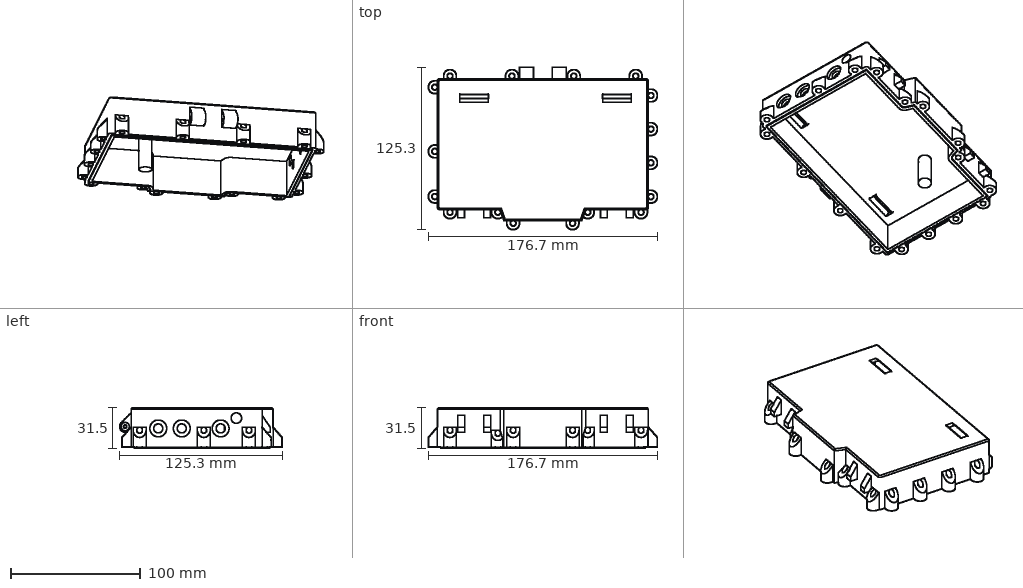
import cadquery as cq
import math

BODY_WIDTH = 162.7
BODY_DEPTH = 101.0
BODY_HEIGHT = 30.5
WALL = 5.0
LID = 3.0
CORNER_RADIUS = 2.0
TOP_CHAMFER = 1.2

BULGE_DEPTH = 8.5
BULGE_ROOT_HALF = 33.0
BULGE_NOSE_HALF = 30.0

LIP_HEIGHT = 1.0
LIP_INSET = 2.5

EAR_DIAMETER = 10.0
EAR_HOLE_DIAMETER = 4.2
EAR_OFFSET = 2.0
EAR_EMBED = 2.5
EAR_HEIGHT = 15.4
EAR_SLOPE_DROP = 8.0
LOW_EAR_HEIGHT = 13.1
BACK_EAR_X = [-71.6, -23.85, 23.85, 71.6]
FRONT_EAR_X = [-71.6, 34.6, 75.7]
LOW_FRONT_EAR_X = -34.7
BULGE_EAR_X = [-22.9, 22.9]
LEFT_EAR_Y = [-6.6, -56.1, -90.9]
RIGHT_EAR_Y = [-13.0, -38.9, -64.9, -91.0]

LUG_WIDTH = 11.0
LUG_CENTER_X = 12.6
LUG_RADIUS = 4.3
LUG_REACH = 8.83
LUG_AXIS_Z = 15.8
LUG_HOLE_DIAMETER = 2.3
LUG_RECESS_DIAMETER = 6.5
LUG_RECESS_DEPTH = 3.0

STRAP_X = [-53.0, 57.0]
SLOT_LENGTH = 22.0
SLOT_WIDTH = 6.0
SLOT_CENTER_Y = -15.3
HOOK_SPACING = 20.0
HOOK_WIDTH = 5.5
HOOK_REACH = 6.3
HOOK_TOP_Z = 24.5
HOOK_TIP_TOP_Z = 15.3
HOOK_BOTTOM_Z = 11.4

JACK_Z = 14.4
JACK_Y = [-21.0, -39.1, -69.1]
JACK_BORE_DIAMETER = 7.0
JACK_RECESS_DIAMETER = 13.0
JACK_RECESS_DEPTH = 2.5
SWITCH_Y = -81.2
SWITCH_Z = 22.4
SWITCH_DIAMETER = 8.1

POST_X = 40.0
POST_Y = -67.0
POST_DIAMETER = 10.0

LEFT_X = -BODY_WIDTH / 2
RIGHT_X = BODY_WIDTH / 2
FRONT_Y = -BODY_DEPTH
BULGE_Y = FRONT_Y - BULGE_DEPTH
LID_BOTTOM_Z = BODY_HEIGHT - LID
LUG_AXIS_Y = LUG_REACH - LUG_RADIUS
OVERLAP = 1.0


def plan_wire(inset):
    """Body outline seen from above, moved inwards by the given distance."""
    outline = cq.Workplane("XY").polyline([
        (LEFT_X, 0),
        (RIGHT_X, 0),
        (RIGHT_X, FRONT_Y),
        (BULGE_ROOT_HALF, FRONT_Y),
        (BULGE_NOSE_HALF, BULGE_Y),
        (-BULGE_NOSE_HALF, BULGE_Y),
        (-BULGE_ROOT_HALF, FRONT_Y),
        (LEFT_X, FRONT_Y),
    ]).close()
    return outline.offset2D(-inset) if inset else outline


def cavity():
    return plan_wire(WALL).extrude(LID_BOTTOM_Z + LIP_HEIGHT).translate((0, 0, -LIP_HEIGHT))


def side_edges(x):
    """Selector for the two upright corner edges of the side wall at the given x."""
    return cq.selectors.BoxSelector(
        (x - OVERLAP, FRONT_Y - OVERLAP, 0),
        (x + OVERLAP, OVERLAP, BODY_HEIGHT),
    )


def solid_body():
    box = plan_wire(0).extrude(BODY_HEIGHT)
    box = box.edges("|Z").edges(side_edges(LEFT_X) + side_edges(RIGHT_X)).fillet(CORNER_RADIUS)
    box = box.faces(">Z").edges().chamfer(TOP_CHAMFER)
    lip = plan_wire(LIP_INSET).extrude(LIP_HEIGHT).translate((0, 0, -LIP_HEIGHT))
    return box.union(lip)


def on_wall(shape, x, y, turn):
    """Move a shape that points along +X to the wall point (x, y), turned to face outwards."""
    return shape.rotate((0, 0, 0), (0, 0, 1), turn).translate((x, y, 0))


def ear(x, y, turn, height):
    """Screw ear: a round barrel joined to the wall, with its top sloping down outwards."""
    radius = EAR_DIAMETER / 2
    reach = EAR_OFFSET + radius
    block = (
        cq.Workplane("XY")
        .center((EAR_OFFSET - EAR_EMBED) / 2, 0)
        .rect(EAR_EMBED + EAR_OFFSET, EAR_DIAMETER)
        .extrude(height)
    )
    barrel = cq.Workplane("XY").center(EAR_OFFSET, 0).circle(radius).extrude(height)
    above_slope = (
        cq.Workplane("XZ")
        .polyline([(0, height), (reach, height), (reach, height - EAR_SLOPE_DROP)])
        .close()
        .extrude(radius, both=True)
    )
    return on_wall(block.union(barrel).cut(above_slope), x, y, turn)


def ear_hole(x, y, turn, height):
    hole = cq.Workplane("XY").center(EAR_OFFSET, 0).circle(EAR_HOLE_DIAMETER / 2).extrude(height)
    return on_wall(hole, x, y, turn)


def ear_places():
    """Wall point, outward angle from +X and height of every ear."""
    places = [(x, 0, 90, EAR_HEIGHT) for x in BACK_EAR_X]
    places += [(x, FRONT_Y, -90, EAR_HEIGHT) for x in FRONT_EAR_X]
    places += [(LOW_FRONT_EAR_X, FRONT_Y, -90, LOW_EAR_HEIGHT)]
    places += [(x, BULGE_Y, -90, EAR_HEIGHT) for x in BULGE_EAR_X]
    places += [(LEFT_X, y, 180, EAR_HEIGHT) for y in LEFT_EAR_Y]
    places += [(RIGHT_X, y, 0, EAR_HEIGHT) for y in RIGHT_EAR_Y]
    return places


def lug(x):
    """Hinge lug with a round nose and a top that rises at 45 degrees to the wall."""
    tangent = LUG_RADIUS / math.sqrt(2)
    root_top = LUG_AXIS_Z + LUG_AXIS_Y + 2 * tangent
    return (
        cq.Workplane("YZ")
        .moveTo(-OVERLAP, LUG_AXIS_Z - LUG_RADIUS)
        .lineTo(LUG_AXIS_Y, LUG_AXIS_Z - LUG_RADIUS)
        .threePointArc((LUG_REACH, LUG_AXIS_Z), (LUG_AXIS_Y + tangent, LUG_AXIS_Z + tangent))
        .lineTo(0, root_top)
        .lineTo(-OVERLAP, root_top)
        .close()
        .extrude(LUG_WIDTH / 2, both=True)
        .translate((x, 0, 0))
    )


def lug_bore():
    """Pin hole through both lugs, recessed at its left end."""
    left_end = -LUG_CENTER_X - LUG_WIDTH / 2
    plane = cq.Workplane("YZ", origin=(left_end, LUG_AXIS_Y, LUG_AXIS_Z))
    pin = plane.circle(LUG_HOLE_DIAMETER / 2).extrude(-2 * left_end)
    return pin.union(plane.circle(LUG_RECESS_DIAMETER / 2).extrude(LUG_RECESS_DEPTH))


def hook(x):
    return (
        cq.Workplane("YZ")
        .polyline([
            (FRONT_Y, HOOK_TOP_Z),
            (FRONT_Y - HOOK_REACH, HOOK_TIP_TOP_Z),
            (FRONT_Y - HOOK_REACH, HOOK_BOTTOM_Z),
            (FRONT_Y, HOOK_BOTTOM_Z),
        ])
        .close()
        .extrude(HOOK_WIDTH / 2, both=True)
        .translate((x, 0, 0))
    )


def strap_slot(x):
    """Slot that leans 45 degrees backwards on its way down through the lid."""
    front = SLOT_CENTER_Y - SLOT_WIDTH / 2
    back = SLOT_CENTER_Y + SLOT_WIDTH / 2
    return (
        cq.Workplane("YZ")
        .polyline([
            (front, BODY_HEIGHT),
            (back, BODY_HEIGHT),
            (back + LID, LID_BOTTOM_Z),
            (front + LID, LID_BOTTOM_Z),
        ])
        .close()
        .extrude(SLOT_LENGTH / 2, both=True)
        .translate((x, 0, 0))
    )


def left_wall_hole(y, z, diameter, depth):
    return cq.Workplane("YZ", origin=(LEFT_X, y, z)).circle(diameter / 2).extrude(depth)


def post():
    return cq.Workplane("XY").center(POST_X, POST_Y).circle(POST_DIAMETER / 2).extrude(LID_BOTTOM_Z)


result = solid_body()
for place in ear_places():
    result = result.union(ear(*place))
for lug_x in (-LUG_CENTER_X, LUG_CENTER_X):
    result = result.union(lug(lug_x))
for strap_x in STRAP_X:
    for side in (-1, 1):
        result = result.union(hook(strap_x + side * HOOK_SPACING / 2))

result = result.cut(cavity()).union(post())

for place in ear_places():
    result = result.cut(ear_hole(*place))
result = result.cut(lug_bore())
for strap_x in STRAP_X:
    result = result.cut(strap_slot(strap_x))
for jack_y in JACK_Y:
    result = result.cut(left_wall_hole(jack_y, JACK_Z, JACK_BORE_DIAMETER, WALL))
    result = result.cut(left_wall_hole(jack_y, JACK_Z, JACK_RECESS_DIAMETER, JACK_RECESS_DEPTH))
result = result.cut(left_wall_hole(SWITCH_Y, SWITCH_Z, SWITCH_DIAMETER, WALL))